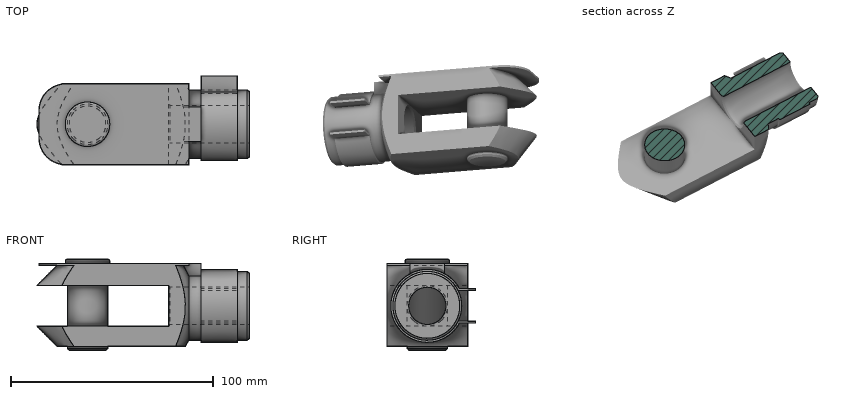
import cadquery as cq
import math


fork_width = 40.0
fork_left = -25.0
slot_width = 20.0
slot_end = 40.0
shoulder_end = 50.0
shoulder_angle = 30.0
tip_angle = 45.0

neck_radius = 17.0
neck_end = 80.0
neck_chamfer_length = 1.2
neck_chamfer_depth = 1.0
bore_diameter = 18.38
bore_mouth_diameter = 20.0

pin_radius = 10.0
pin_bottom = -22.0
pin_chamfer = 1.0
head_radius = 11.0
head_top = 23.0
head_round = 1.0

sheet = 1.0
plate_left = -24.0
plate_corner_radius = 13.3
tongue_width = 17.0
band_start = 56.0
band_end = 74.0
leg_end = 23.9

half_fork = fork_width / 2
plate_top = half_fork + sheet
leg_outer = tongue_width / 2
band_radius = neck_radius + sheet


def cylinder_x(radius, start, end):
    """Cylinder about the X axis between two X positions."""
    return cq.Workplane("YZ").workplane(offset=start).circle(radius).extrude(end - start)


def make_fork():
    """Square block with both ends turned to cones about X, slotted from the tip."""
    length = shoulder_end - fork_left
    block = cq.Workplane("XY").box(length, fork_width, fork_width).translate(
        ((fork_left + shoulder_end) / 2, 0, 0)
    )
    corner_radius = half_fork * math.sqrt(2)
    tip_radius = slot_width / 2
    tip_run = (corner_radius - tip_radius) * math.tan(math.radians(tip_angle))
    shoulder_run = (corner_radius - neck_radius) * math.tan(math.radians(shoulder_angle))
    turned = (
        cq.Workplane("XY")
        .moveTo(fork_left, 0)
        .lineTo(fork_left, tip_radius)
        .lineTo(fork_left + tip_run, corner_radius)
        .lineTo(shoulder_end - shoulder_run, corner_radius)
        .lineTo(shoulder_end, neck_radius)
        .lineTo(shoulder_end, 0)
        .close()
        .revolve(360, (0, 0, 0), (1, 0, 0))
    )
    slot = cq.Workplane("XY").box(slot_end - fork_left, fork_width, slot_width).translate(
        ((fork_left + slot_end) / 2, 0, 0)
    )
    return block.intersect(turned).cut(slot)


def make_neck():
    """Round neck with a chamfered end."""
    return (
        cq.Workplane("XY")
        .moveTo(slot_end, 0)
        .lineTo(slot_end, neck_radius)
        .lineTo(neck_end - neck_chamfer_length, neck_radius)
        .lineTo(neck_end, neck_radius - neck_chamfer_depth)
        .lineTo(neck_end, 0)
        .close()
        .revolve(360, (0, 0, 0), (1, 0, 0))
    )


def make_bore():
    """Through bore from the slot floor to the neck end, countersunk at the slot."""
    bore_radius = bore_diameter / 2
    mouth_radius = bore_mouth_diameter / 2
    countersink = mouth_radius - bore_radius
    return (
        cq.Workplane("XY")
        .moveTo(slot_end, 0)
        .lineTo(slot_end, mouth_radius)
        .lineTo(slot_end + countersink, bore_radius)
        .lineTo(neck_end, bore_radius)
        .lineTo(neck_end, 0)
        .close()
        .revolve(360, (0, 0, 0), (1, 0, 0))
    )


def make_pin():
    """Pin across the arms with a chamfered foot and a rounded head above the plate."""
    shank = (
        cq.Workplane("XY")
        .workplane(offset=pin_bottom)
        .circle(pin_radius)
        .extrude(plate_top - pin_bottom)
        .faces("<Z")
        .chamfer(pin_chamfer)
    )
    head = (
        cq.Workplane("XY")
        .workplane(offset=plate_top)
        .circle(head_radius)
        .extrude(head_top - plate_top)
        .faces(">Z")
        .edges()
        .fillet(head_round)
    )
    return shank.union(head)


def make_plate():
    """Clip plate on the upper arm, with its two free corners rounded."""
    plate = (
        cq.Workplane("XY")
        .workplane(offset=half_fork)
        .center((plate_left + shoulder_end) / 2, 0)
        .rect(shoulder_end - plate_left, fork_width)
        .extrude(sheet)
    )
    return plate.edges("|Z and <X").fillet(plate_corner_radius)


def make_tongue():
    """Block joining the plate to the neck and the band."""
    return (
        cq.Workplane("XY")
        .center((slot_end + band_start) / 2, 0)
        .rect(band_start - slot_end, tongue_width)
        .extrude(plate_top)
        .cut(cylinder_x(neck_radius, slot_end, band_start))
    )


def make_band():
    """Open band around the neck with two flat legs toward +Y."""
    band = cylinder_x(band_radius, band_start, band_end)
    width = band_end - band_start
    middle = (band_start + band_end) / 2
    legs = cq.Workplane("XY").box(width, leg_end, 2 * leg_outer).translate((middle, leg_end / 2, 0))
    gap = cq.Workplane("XY").box(width, leg_end, 2 * (leg_outer - sheet)).translate(
        (middle, leg_end / 2, 0)
    )
    return band.union(legs).cut(gap).cut(cylinder_x(neck_radius, band_start, band_end))


body = make_fork().union(make_neck()).union(make_tongue()).union(make_band())
result = body.cut(make_bore()).union(make_plate()).union(make_pin())